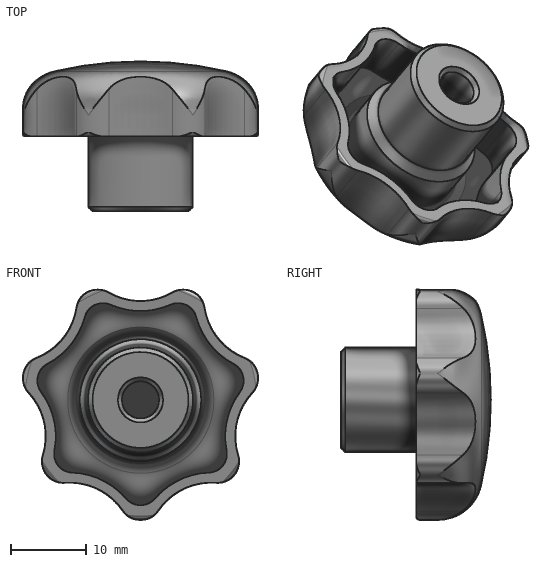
import cadquery as cq
import math

lobe_count = 7
head_radius = 16.0
head_height = 10.0
half_pitch = math.pi / lobe_count
valley_center_radius = 21.7
valley_floor_radius = 13.2
dome_radius = 50.02
shoulder_radius = 6.0
rim_round = 0.55

cavity_depth = 6.95
cavity_tip_radius = 14.05
cavity_valley_radius = 11.85
moat_outer_radius = 9.75
moat_inner_radius = 8.55
moat_drop = 0.25
root_round = 0.47

hub_radius = 7.0
hub_length = 10.0
hub_chamfer = 0.6
hub_root_radius = moat_inner_radius - root_round
hub_step_start = 0
bore_radius = 2.48
bore_depth = 12.55
bore_chamfer = 0.53


def polar(radius, angle):
    """Point at an angle measured from the -Z direction, as sketched on the XZ plane."""
    return (radius * math.sin(angle), -radius * math.cos(angle))


def star_prism(tip_radius, valley_radius, height):
    """Prism along +Y whose lobe arcs run tangent into concave valley arcs."""
    valley_arc = valley_center_radius - valley_radius
    span = valley_center_radius * math.cos(half_pitch)
    lobe_arc = (valley_center_radius**2 + tip_radius**2 - 2 * tip_radius * span - valley_arc**2) / (
        2 * (valley_arc + tip_radius - span)
    )
    lobe_center = (0, -(tip_radius - lobe_arc))
    valley_center = polar(valley_center_radius, half_pitch)
    share = lobe_arc / (lobe_arc + valley_arc)
    joint_x = lobe_center[0] + share * (valley_center[0] - lobe_center[0])
    joint_y = lobe_center[1] + share * (valley_center[1] - lobe_center[1])
    joint_radius = math.hypot(joint_x, joint_y)
    joint_angle = math.atan2(joint_x, -joint_y)

    outline = cq.Workplane("XZ").moveTo(*polar(joint_radius, -joint_angle))
    for lobe in range(lobe_count):
        middle = 2 * half_pitch * lobe
        outline = outline.threePointArc(
            polar(tip_radius, middle), polar(joint_radius, middle + joint_angle)
        )
        outline = outline.threePointArc(
            polar(valley_radius, middle + half_pitch),
            polar(joint_radius, middle + 2 * half_pitch - joint_angle),
        )
    return outline.close().extrude(-height)


def revolve_about_y(profile):
    return profile.close().revolve(360, (0, 0, 0), (0, 1, 0))


def domed_blank():
    """Round blank: shallow dome, tangent shoulder arc and a rounded lower rim."""
    dome_center = head_height - dome_radius
    arc_center_x = head_radius - shoulder_radius
    center_gap = dome_radius - shoulder_radius
    tilt = math.asin(arc_center_x / center_gap)
    arc_center_y = dome_center + center_gap * math.cos(tilt)

    def dome_point(angle):
        return (dome_radius * math.sin(angle), dome_center + dome_radius * math.cos(angle))

    shoulder_middle = (tilt + math.pi / 2) / 2
    rim_center_x = head_radius - rim_round
    rim_reach = rim_round * math.sqrt(0.5)
    return revolve_about_y(
        cq.Workplane("XY")
        .lineTo(rim_center_x, 0)
        .threePointArc((rim_center_x + rim_reach, rim_round - rim_reach), (head_radius, rim_round))
        .lineTo(head_radius, arc_center_y)
        .threePointArc(
            (
                arc_center_x + shoulder_radius * math.sin(shoulder_middle),
                arc_center_y + shoulder_radius * math.cos(shoulder_middle),
            ),
            dome_point(tilt),
        )
        .threePointArc(dome_point(tilt / 2), (0, head_height))
    )


def moat():
    """Ring that deepens the cavity floor towards the hub."""
    return revolve_about_y(
        cq.Workplane("XY")
        .lineTo(moat_outer_radius, 0)
        .lineTo(moat_outer_radius, cavity_depth)
        .lineTo(moat_inner_radius, cavity_depth + moat_drop)
        .lineTo(0, cavity_depth + moat_drop)
    )


def hub():
    """Stepped hub with a rounded root that blends into the cavity floor."""
    root_top = cavity_depth + moat_drop
    round_reach = root_round * (1 - math.sqrt(0.5))
    step_end = hub_step_start + hub_root_radius - hub_radius
    return revolve_about_y(
        cq.Workplane("XY")
        .moveTo(0, -hub_length)
        .lineTo(hub_radius - hub_chamfer, -hub_length)
        .lineTo(hub_radius, hub_chamfer - hub_length)
        .lineTo(hub_radius, hub_step_start)
        .lineTo(hub_root_radius, step_end)
        .lineTo(hub_root_radius, root_top - root_round)
        .threePointArc(
            (hub_root_radius + round_reach, root_top - round_reach), (moat_inner_radius, root_top)
        )
        .lineTo(0, root_top)
    )


def bore():
    """Blind bore with a chamfered mouth at the free end of the hub."""
    return revolve_about_y(
        cq.Workplane("XY")
        .moveTo(0, -hub_length)
        .lineTo(bore_radius + bore_chamfer, -hub_length)
        .lineTo(bore_radius, bore_chamfer - hub_length)
        .lineTo(bore_radius, bore_depth - hub_length)
        .lineTo(0, bore_depth - hub_length)
    )


head = star_prism(head_radius, valley_floor_radius, head_height).intersect(domed_blank())
cavity = star_prism(cavity_tip_radius, cavity_valley_radius, cavity_depth).union(moat())
result = head.cut(cavity).union(hub()).cut(bore())